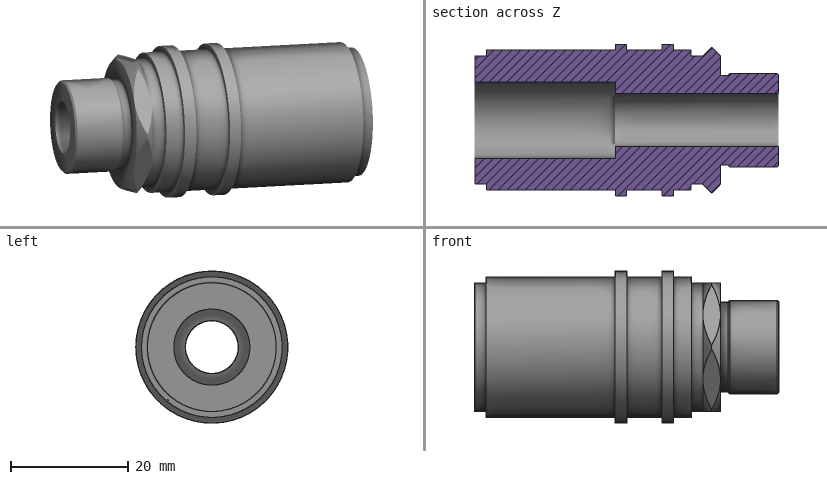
import cadquery as cq
import math


ring_diameter = 26.0
body_diameter = 24.0
nose_diameter = 22.0
thread_diameter = 16.0
neck_diameter = 15.4
socket_diameter = 13.0
bore_diameter = 9.0
hex_across_flats = nose_diameter

nose_end = 2.0
front_ring_start = 24.0
front_ring_end = 26.0
rear_ring_start = 32.0
rear_ring_end = 34.0
body_end = 37.0
hex_start = 39.0
hex_end = 42.0
neck_end = 43.3
total_length = 52.0
socket_depth = front_ring_start

thread_chamfer = (thread_diameter - neck_diameter) / 2


def cylinder(diameter, start, end):
    """Solid cylinder on the X axis between two positions."""
    return cq.Workplane("YZ", origin=(start, 0, 0)).circle(diameter / 2).extrude(end - start)


def make_turned_body():
    """Nose, body with two rings, collar in front of the hexagon, and neck."""
    body = cylinder(nose_diameter, 0, hex_start)
    body = body.union(cylinder(body_diameter, nose_end, body_end))
    body = body.union(cylinder(ring_diameter, front_ring_start, front_ring_end))
    body = body.union(cylinder(ring_diameter, rear_ring_start, rear_ring_end))
    return body.union(cylinder(neck_diameter, hex_start, total_length))


def make_hexagon():
    """Hexagon with flats facing +Z and -Z, its corners cut by two 45 degree cones meeting at mid-width."""
    width = hex_end - hex_start
    across_corners = hex_across_flats / math.cos(math.pi / 6)
    prism = cq.Workplane("YZ", origin=(hex_start, 0, 0)).polygon(6, across_corners).extrude(width)

    face_radius = hex_across_flats / 2
    crest_radius = face_radius + width / 2
    double_cone = (
        cq.Workplane("XY")
        .moveTo(hex_start, 0)
        .lineTo(hex_start, face_radius)
        .lineTo(hex_start + width / 2, crest_radius)
        .lineTo(hex_end, face_radius)
        .lineTo(hex_end, 0)
        .close()
        .revolve(360, (0, 0, 0), (1, 0, 0))
    )
    return prism.intersect(double_cone)


def make_thread():
    """Plain cylinder for the thread, chamfered down to the neck diameter at both ends."""
    return cylinder(thread_diameter, neck_end, total_length).edges("%CIRCLE").chamfer(thread_chamfer)


def make_bore():
    """Wide socket from the nose face, then a narrower bore through the rest."""
    socket = cylinder(socket_diameter, 0, socket_depth)
    return socket.union(cylinder(bore_diameter, 0, total_length))


result = (
    make_turned_body()
    .union(make_hexagon())
    .union(make_thread())
    .cut(make_bore())
)